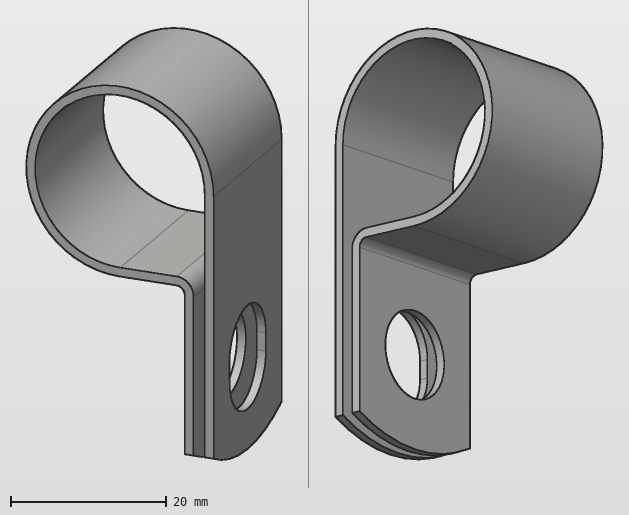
import cadquery as cq

height = 52.0
width = 22.2
loop_diameter = 26.25
thickness = 1.25
leg_gap = 1.55
bend_inner_radius = 1.15
hole_diameter = 11.8
slot_extra_length = 2.5
hole_height = 12.7
end_rise = 2.6

outer_radius = loop_diameter / 2
inner_radius = outer_radius - thickness
bend_outer_radius = bend_inner_radius + thickness
leg_bottom = outer_radius - height

short_leg_right = inner_radius - leg_gap
short_leg_left = short_leg_right - thickness
bend_x = short_leg_right - bend_outer_radius
bend_z = -inner_radius - bend_outer_radius


def make_strip():
    """Bent strip: long leg, three-quarter loop, flat shelf, bend and short leg."""
    diagonal = 0.5 ** 0.5
    bend_outer_mid = (bend_x + bend_outer_radius * diagonal, bend_z + bend_outer_radius * diagonal)
    bend_inner_mid = (bend_x + bend_inner_radius * diagonal, bend_z + bend_inner_radius * diagonal)
    loop_outer_mid = (-outer_radius * diagonal, outer_radius * diagonal)
    loop_inner_mid = (-inner_radius * diagonal, inner_radius * diagonal)
    return (
        cq.Workplane("XZ")
        .moveTo(outer_radius, leg_bottom)
        .lineTo(outer_radius, 0)
        .threePointArc(loop_outer_mid, (0, -outer_radius))
        .lineTo(bend_x, -outer_radius)
        .threePointArc(bend_inner_mid, (short_leg_left, bend_z))
        .lineTo(short_leg_left, leg_bottom)
        .lineTo(short_leg_right, leg_bottom)
        .lineTo(short_leg_right, bend_z)
        .threePointArc(bend_outer_mid, (bend_x, -inner_radius))
        .lineTo(0, -inner_radius)
        .threePointArc(loop_inner_mid, (inner_radius, 0))
        .lineTo(inner_radius, leg_bottom)
        .close()
        .extrude(width / 2, both=True)
    )


def make_end_outline():
    """Side outline of the strip, with the leg ends rounded by one shallow arc."""
    corner_z = leg_bottom + end_rise
    return (
        cq.Workplane("YZ")
        .moveTo(-width / 2, outer_radius)
        .lineTo(-width / 2, corner_z)
        .threePointArc((0, leg_bottom), (width / 2, corner_z))
        .lineTo(width / 2, outer_radius)
        .close()
        .extrude(outer_radius, both=True)
    )


def make_bolt_hole():
    """Round hole along X through the short leg only."""
    return (
        cq.Workplane("YZ", origin=(0, 0, leg_bottom + hole_height))
        .circle(hole_diameter / 2)
        .extrude(short_leg_right + leg_gap / 2)
    )


def make_bolt_slot():
    """Upright slot along X through the long leg, centred on the round hole."""
    return (
        cq.Workplane("YZ", origin=(short_leg_right + leg_gap / 2, 0, leg_bottom + hole_height))
        .slot2D(hole_diameter + slot_extra_length, hole_diameter, 90)
        .extrude(leg_gap + thickness)
    )


strip = make_strip().intersect(make_end_outline())
result = strip.cut(make_bolt_hole()).cut(make_bolt_slot())